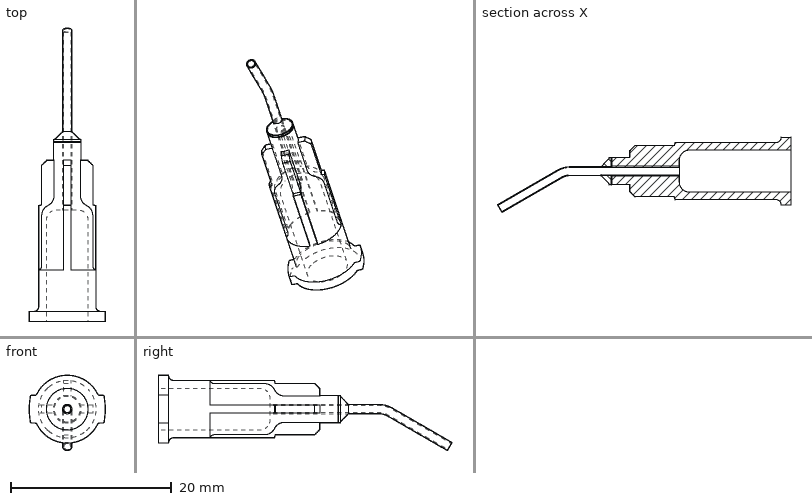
import cadquery as cq
import math


flange_radius = 4.25
flange_length = 1.28
ear_reach = 4.75
ear_end_radius = 8.77
ear_half_height = 1.75
ear_corner_radius = 0.25
ear_root_radius = 0.2
root_tolerance = 0.005

grip_radius = 3.58
flare_radius = 0.6
grip_end = 6.43
barrel_radius = 3.2
barrel_fillet_radius = 0.55
shoulder_start = 13.23
shoulder_radius = 1.35
neck_radius = 1.7
hub_end = 22.33

fin_width = 1.0
fin_step_slope = 0.1
fin_end = 20.1
fin_chamfer = 0.65

socket_radius = 2.6
socket_floor = 13.9
socket_fillet_radius = 1.25

needle_radius = 0.6
needle_bore_radius = 0.45
bend_start = 27.48
bend_radius = 2.63
bend_angle = 30.0
needle_reach = 36.55

washer_thickness = 0.1
cone_rim_thickness = 0.22
cone_base_radius = 1.6
cone_length = 1.0

shoulder_angle = math.acos(1 - (barrel_radius - neck_radius) / (2 * shoulder_radius))
shoulder_half_length = shoulder_radius * math.sin(shoulder_angle)
shoulder_middle = shoulder_start + shoulder_half_length
shoulder_end = shoulder_middle + shoulder_half_length


def arc_point(center, radius, angle):
    """Point on a circle in a flat sketch, with the angle in radians."""
    return (center[0] + radius * math.cos(angle), center[1] + radius * math.sin(angle))


def spin(profile):
    """Revolve a closed profile of radius (X) and length (Y) around the hub axis."""
    return profile.close().revolve(360, (0, 0, 0), (0, 1, 0))


def tube(inner_radius, outer_radius, start, end):
    """Round body along the hub axis, hollow if the inner radius is above zero."""
    profile = cq.Workplane("XY").moveTo(inner_radius, start).lineTo(outer_radius, start)
    return spin(profile.lineTo(outer_radius, end).lineTo(inner_radius, end))


def hub_core():
    """Turned outer shape: flange, flare, grip, barrel, shoulder and neck."""
    flare_center = (grip_radius + flare_radius, flange_length + flare_radius)
    fillet_angle = math.acos(1 - (grip_radius - barrel_radius) / barrel_fillet_radius)
    fillet_length = barrel_fillet_radius * math.sin(fillet_angle)
    fillet_center = (barrel_radius + barrel_fillet_radius, grip_end + fillet_length)
    convex_center = (barrel_radius - shoulder_radius, shoulder_start)
    concave_center = (neck_radius + shoulder_radius, shoulder_end)
    profile = (
        cq.Workplane("XY")
        .lineTo(flange_radius, 0)
        .lineTo(flange_radius, flange_length)
        .lineTo(flare_center[0], flange_length)
        .threePointArc(
            arc_point(flare_center, flare_radius, 1.25 * math.pi),
            (grip_radius, flare_center[1]),
        )
        .lineTo(grip_radius, grip_end)
        .threePointArc(
            arc_point(fillet_center, barrel_fillet_radius, math.pi + fillet_angle / 2),
            (barrel_radius, fillet_center[1]),
        )
        .lineTo(barrel_radius, shoulder_start)
        .threePointArc(
            arc_point(convex_center, shoulder_radius, shoulder_angle / 2),
            arc_point(convex_center, shoulder_radius, shoulder_angle),
        )
        .threePointArc(
            arc_point(concave_center, shoulder_radius, math.pi + shoulder_angle / 2),
            (neck_radius, shoulder_end),
        )
        .lineTo(neck_radius, hub_end)
        .lineTo(0, hub_end)
    )
    return spin(profile)


def flange_with_ears():
    """Flange disc with a pair of ears that have bowed ends, rounded corners and filleted roots."""
    bow = ear_end_radius - math.sqrt(ear_end_radius**2 - ear_half_height**2)
    corner_x = ear_reach - bow
    bar = (
        cq.Workplane("XZ")
        .moveTo(-corner_x, -ear_half_height)
        .lineTo(corner_x, -ear_half_height)
        .threePointArc((ear_reach, 0), (corner_x, ear_half_height))
        .lineTo(-corner_x, ear_half_height)
        .threePointArc((-ear_reach, 0), (-corner_x, -ear_half_height))
        .close()
        .extrude(-flange_length)
        .edges("|Y")
        .fillet(ear_corner_radius)
    )
    disc = tube(0, flange_radius, 0, flange_length)
    root_x = math.sqrt(flange_radius**2 - ear_half_height**2)
    flange = disc.union(bar)
    root_edges = flange.edges("|Y").filter(
        lambda edge: math.isclose(abs(edge.Center().x), root_x, abs_tol=root_tolerance)
    )
    return root_edges.fillet(ear_root_radius)


def fins():
    """Four fins around the hub axis, cut from one turned blank that sets their outer edge."""
    blank = spin(
        cq.Workplane("XY")
        .moveTo(0, grip_end)
        .lineTo(grip_radius, grip_end)
        .lineTo(grip_radius, shoulder_middle)
        .lineTo(barrel_radius, shoulder_middle + fin_step_slope)
        .lineTo(barrel_radius, fin_end - fin_chamfer)
        .lineTo(barrel_radius - fin_chamfer, fin_end)
        .lineTo(0, fin_end)
    )
    span = 2 * grip_radius
    cross = cq.Workplane("XZ").rect(span, fin_width).extrude(-fin_end)
    cross = cross.union(cq.Workplane("XZ").rect(fin_width, span).extrude(-fin_end))
    return blank.intersect(cross)


def socket():
    """Blind bore from the mouth, rounded into its flat floor."""
    bore = tube(0, socket_radius, 0, socket_floor)
    return bore.faces(">Y").edges().fillet(socket_fillet_radius)


def make_hub():
    """Hub with its flange, fins, socket and a through hole for the needle."""
    needle_hole = tube(0, needle_radius, 0, hub_end)
    return hub_core().union(flange_with_ears()).union(fins()).cut(socket()).cut(needle_hole)


def make_needle():
    """Bent tube that starts flush with the socket floor."""
    turn = math.radians(bend_angle)
    bend_center = (bend_start, -bend_radius)
    quarter_turn = math.pi / 2
    bend_middle = arc_point(bend_center, bend_radius, quarter_turn - turn / 2)
    bend_end = arc_point(bend_center, bend_radius, quarter_turn - turn)
    tip_y = needle_reach - needle_radius * math.sin(turn)
    tip_z = bend_end[1] - (tip_y - bend_end[0]) * math.tan(turn)
    path = (
        cq.Workplane("YZ")
        .moveTo(socket_floor, 0)
        .lineTo(bend_start, 0)
        .threePointArc(bend_middle, bend_end)
        .lineTo(tip_y, tip_z)
    )
    start_plane = cq.Workplane("XZ", origin=(0, socket_floor, 0))
    return start_plane.circle(needle_radius).circle(needle_bore_radius).sweep(path)


def make_washer():
    """Thin washer around the needle, against the end of the neck."""
    return tube(needle_radius, neck_radius, hub_end, hub_end + washer_thickness)


def make_cone():
    """Cone around the needle, on a short rim that sits on the washer."""
    start = hub_end + washer_thickness
    rim_end = start + cone_rim_thickness
    return spin(
        cq.Workplane("XY")
        .moveTo(needle_radius, start)
        .lineTo(neck_radius, start)
        .lineTo(neck_radius, rim_end)
        .lineTo(cone_base_radius, rim_end)
        .lineTo(needle_radius, rim_end + cone_length)
    )


hub = make_hub()
needle = make_needle()
washer = make_washer()
cone = make_cone()

result = cq.Compound.makeCompound([hub.val(), needle.val(), washer.val(), cone.val()])